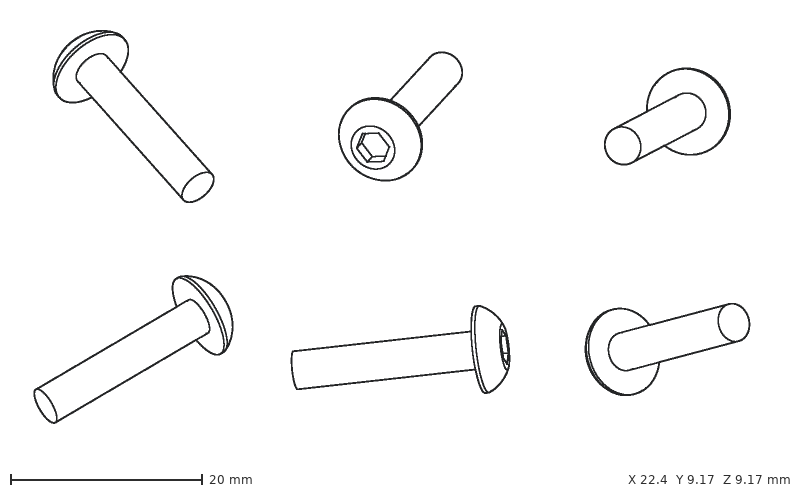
import cadquery as cq
import math

total_length = 22.4
head_diameter = 9.17
head_height = 2.6
rim_thickness = 0.4
face_diameter = 4.85
dome_bulge = 0.3
shank_diameter = 4.03

socket_across_flats = 3.18
socket_depth = 1.57
socket_turn = -10.0

head_face_x = -total_length / 2
head_back_x = head_face_x + head_height
rim_front_x = head_back_x - rim_thickness
shank_end_x = head_face_x + total_length
head_radius = head_diameter / 2
face_radius = face_diameter / 2
shank_radius = shank_diameter / 2


def make_body():
    """Revolve the half profile of the domed head and plain shank about X."""
    chord_x = rim_front_x - head_face_x
    chord_y = head_radius - face_radius
    chord = math.hypot(chord_x, chord_y)
    dome_middle = (
        (head_face_x + rim_front_x) / 2 - dome_bulge * chord_y / chord,
        (face_radius + head_radius) / 2 + dome_bulge * chord_x / chord,
    )
    profile = (
        cq.Workplane("XY")
        .moveTo(head_face_x, 0)
        .lineTo(head_face_x, face_radius)
        .threePointArc(dome_middle, (rim_front_x, head_radius))
        .lineTo(head_back_x, head_radius)
        .lineTo(head_back_x, shank_radius)
        .lineTo(shank_end_x, shank_radius)
        .lineTo(shank_end_x, 0)
        .close()
    )
    return profile.revolve(360, (0, 0, 0), (1, 0, 0))


def make_socket():
    """Flat-bottomed hexagonal drive socket, sunk into the head face."""
    across_corners = socket_across_flats / math.cos(math.pi / 6)
    return (
        cq.Workplane("YZ", origin=(head_face_x, 0, 0))
        .polygon(6, across_corners)
        .extrude(socket_depth)
        .rotate((0, 0, 0), (1, 0, 0), socket_turn)
    )


result = make_body().cut(make_socket())